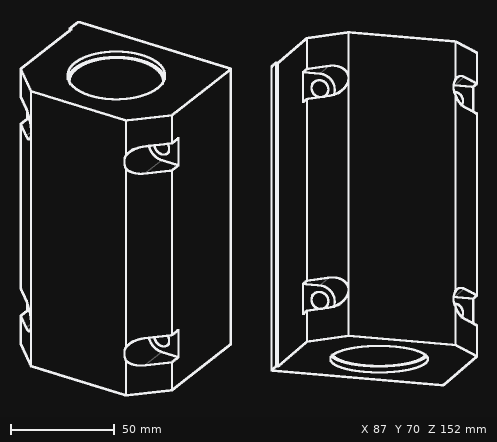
import cadquery as cq

WIDTH = 87.0
DEPTH = 70.0
HEIGHT = 152.0
BEVEL = 16.0
EDGE_BREAK = 0.5

LEDGE_STEP = 1.0
LEDGE_DEPTH = 8.0

BORE_DIAMETER = 45.0
RECESS_DIAMETER = 47.0
RECESS_DEPTH = 3.0

HOLE_DIAMETER = 8.5
HOLE_SPACING_X = 68.0
HOLE_SPACING_Z = 106.0
SEAT_WIDTH = 15.0
SEAT_DEPTH = 22.0

RIGHT = WIDTH / 2
LEFT = -RIGHT
BACK = DEPTH / 2
FRONT = -BACK
TOP = HEIGHT / 2
BOTTOM = -TOP


def make_block():
    """Extrude the bevelled outline, with its side ledge, over the full height."""
    side = LEFT + LEDGE_STEP
    outline = [
        (LEFT + EDGE_BREAK, BACK),
        (RIGHT - EDGE_BREAK, BACK),
        (RIGHT, BACK - EDGE_BREAK),
        (RIGHT, FRONT + BEVEL),
        (RIGHT - BEVEL, FRONT),
        (side + BEVEL, FRONT),
        (side, FRONT + BEVEL),
        (side, BACK - LEDGE_DEPTH),
        (LEFT, BACK - LEDGE_DEPTH),
        (LEFT, BACK - EDGE_BREAK),
    ]
    return cq.Workplane("XY").workplane(offset=BOTTOM).polyline(outline).close().extrude(HEIGHT)


def vertical_cylinder(diameter, bottom, height):
    return cq.Workplane("XY").workplane(offset=bottom).circle(diameter / 2).extrude(height)


def make_bore():
    """Through bore with a recess at the top and bottom ends."""
    bore = vertical_cylinder(BORE_DIAMETER, BOTTOM, HEIGHT)
    for recess_bottom in (BOTTOM, TOP - RECESS_DEPTH):
        bore = bore.union(vertical_cylinder(RECESS_DIAMETER, recess_bottom, RECESS_DEPTH))
    return bore


def make_mounting_cut(side, z):
    """Hole and seat slot at height z; side is -1 for left and +1 for right."""
    hole_x = side * HOLE_SPACING_X / 2
    slot_length = RIGHT - abs(hole_x)
    front_plane = cq.Workplane("XZ", origin=(hole_x, FRONT, z))
    hole = front_plane.circle(HOLE_DIAMETER / 2).extrude(-DEPTH)
    round_end = front_plane.circle(SEAT_WIDTH / 2).extrude(-SEAT_DEPTH)
    slot_plane = front_plane.center(side * slot_length / 2, 0)
    open_end = slot_plane.rect(slot_length, SEAT_WIDTH).extrude(-SEAT_DEPTH)
    return hole.union(round_end).union(open_end)


result = make_block().cut(make_bore())
for side in (-1, 1):
    for z in (-HOLE_SPACING_Z / 2, HOLE_SPACING_Z / 2):
        result = result.cut(make_mounting_cut(side, z))